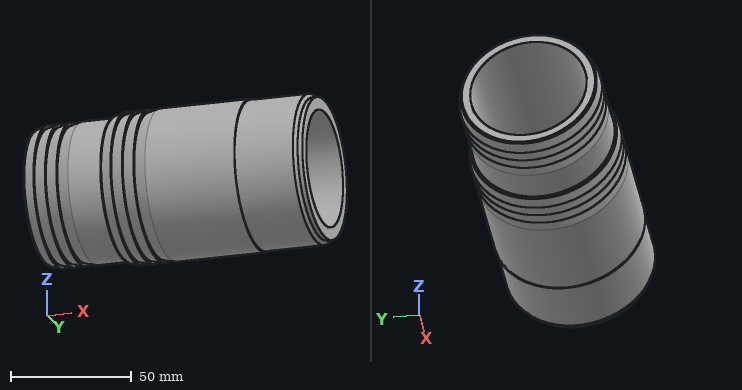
import cadquery as cq

length = 122.0
bore_radius = 24.5

tooth_count = 4
tooth_pitch = 5.0
bevel = 0.6

spigot_length = 34.2
spigot_radius = 30.0
spigot_root_radius = 28.7

body_diameter = 64.0
body_radius = body_diameter / 2
body_root_radius = 30.9
body_end = 93.1

tail_radius = 31.6
taper_start = 118.5
collar_start = 119.9
collar_radius = 29.9


def barb_points(start, root_radius, tip_radius):
    """Sawtooth outline that rises towards +X and drops square after each tip."""
    points = [(start, root_radius - bevel), (start + bevel, root_radius)]
    for tooth in range(tooth_count):
        tooth_start = start + tooth * tooth_pitch
        if tooth > 0:
            points.append((tooth_start, root_radius))
        points.append((tooth_start + tooth_pitch, tip_radius))
    return points


section = [(0, bore_radius)]
section += barb_points(0, spigot_root_radius, spigot_radius)
section += [(spigot_length, spigot_radius)]
section += barb_points(spigot_length, body_root_radius, body_radius)
section += [
    (body_end, body_radius),
    (body_end, tail_radius),
    (taper_start, tail_radius),
    (collar_start, collar_radius),
    (length, collar_radius),
    (length, bore_radius),
]

sleeve = cq.Workplane("XY").polyline(section).close().revolve(360, (0, 0, 0), (1, 0, 0))

result = sleeve